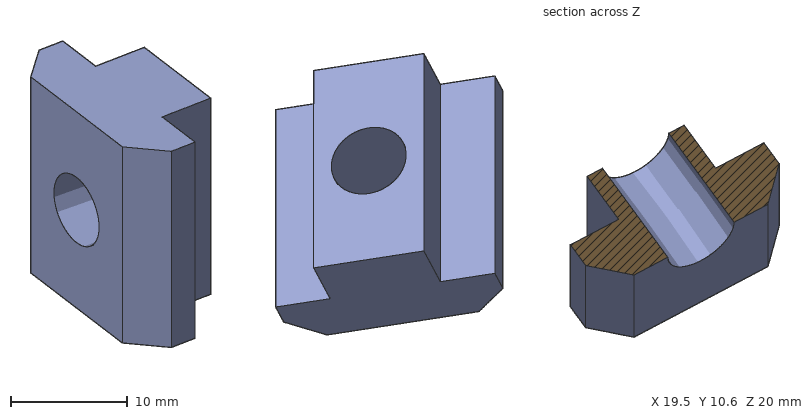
import cadquery as cq

head_width = 19.5
total_depth = 10.6
length = 20.0

neck_width = 9.8
head_depth = 5.5
chamfer = 3.0

hole_diameter = 6.65

front_y = -total_depth / 2
back_y = total_depth / 2
bevel_y = front_y + chamfer
shoulder_y = front_y + head_depth
half_head = head_width / 2
half_neck = neck_width / 2
half_face = half_head - chamfer


def make_body():
    """T-shaped profile with a bevelled head, extruded along Z."""
    right_side = [
        (half_face, front_y),
        (half_head, bevel_y),
        (half_head, shoulder_y),
        (half_neck, shoulder_y),
        (half_neck, back_y),
    ]
    left_side = [(-x, y) for x, y in reversed(right_side)]
    return (
        cq.Workplane("XY")
        .polyline(right_side + left_side)
        .close()
        .extrude(length / 2, both=True)
    )


def make_hole():
    """Through hole along Y, centred on the head face."""
    return cq.Workplane("XZ").circle(hole_diameter / 2).extrude(total_depth, both=True)


result = make_body().cut(make_hole())